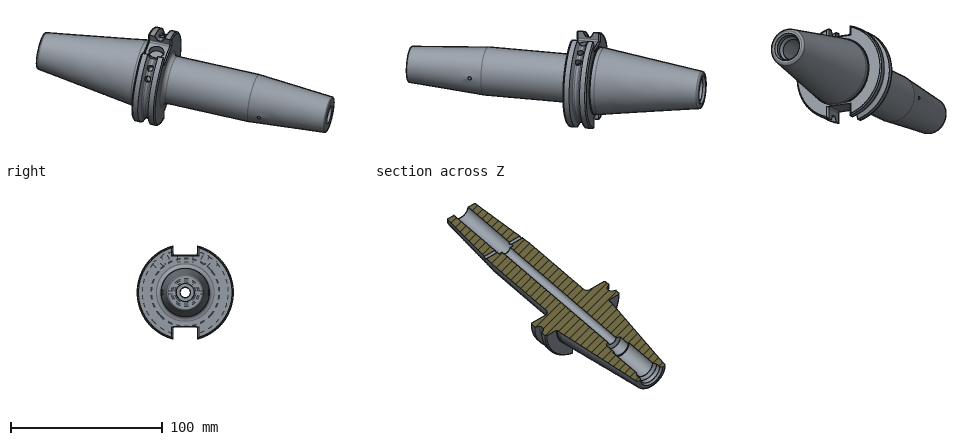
import cadquery as cq
import math

total_length = 198.2

gauge_x = 68.2
gauge_radius = 22.2
taper_slope = 7 / 48
taper_end_radius = gauge_radius - gauge_x * taper_slope
taper_end_rounding = 1.5
shank_corner_fillet = 0.5

flange_start_x = 71.4
flange_end_x = 87.33
flange_radius = 31.75
flange_rim_chamfer = 0.9

clearance = 2.0

groove_x = 79.3
groove_width = 7.1
groove_floor_radius = 28.3
groove_half_angle = 30.0
groove_corner_radius = 1.2

slot_width = 16.0
upper_slot_floor = 24.8
lower_slot_floor = 22.6
slot_side_chamfer = 1.0
upper_floor_chamfer = 0.8
slot_corner_radius = 1.0
recess_diameter = 10.0
recess_depth = 4.5

groove_hole_angles = (30.0, 45.0)
groove_hole_diameter = 4.0
groove_hole_depth = 6.0

neck_radius = 16.0
neck_fillet = 3.0
nose_cone_start_x = 146.5
nose_end_radius = 12.0
nose_end_rounding = 0.8

mouth_radius = 9.3
counterbore_radius = 8.3
counterbore_depth = 5.0
lead_in_half_angle = 30.0
thread_radius = 7.0
thread_end_x = 31.7
drill_radius = 6.0
drill_end_x = 39.6
drill_half_angle = 59.0
coolant_radius = 3.4
tool_bore_radius = 6.0
tool_bore_depth = 47.0

vent_x = 154.2
vent_diameter = 2.2


def cylinder_x(start, end, radius):
    return cq.Workplane("YZ").workplane(offset=start).circle(radius).extrude(end - start)


def revolve_x(points):
    """Solid of revolution about the X axis from (x, radius) points."""
    return cq.Workplane("XZ").polyline(points).close().revolve(360, (0, 0, 0), (1, 0, 0))


def make_shank():
    shank = revolve_x([
        (0, 0),
        (0, taper_end_radius),
        (gauge_x, gauge_radius),
        (flange_start_x, gauge_radius),
        (flange_start_x, 0),
    ])
    return shank.faces("<X").edges().fillet(taper_end_rounding)


def make_nose():
    nose = revolve_x([
        (flange_end_x, 0),
        (flange_end_x, neck_radius),
        (nose_cone_start_x, neck_radius),
        (total_length, nose_end_radius),
        (total_length, 0),
    ])
    return nose.faces(">X").edges().fillet(nose_end_rounding)


def make_groove():
    half_width = groove_width / 2
    wall_run = (flange_radius - groove_floor_radius) * math.tan(math.radians(groove_half_angle))
    half_floor = half_width - wall_run
    outer = flange_radius + clearance
    groove = revolve_x([
        (groove_x - half_width, outer),
        (groove_x - half_width, flange_radius),
        (groove_x - half_floor, groove_floor_radius),
        (groove_x + half_floor, groove_floor_radius),
        (groove_x + half_width, flange_radius),
        (groove_x + half_width, outer),
    ])
    floor_edges = cq.selectors.RadiusNthSelector(0)
    return groove.edges(floor_edges).fillet(groove_corner_radius)


def make_slot(floor, side, floor_chamfer):
    """Drive slot cutter with rounded floor corners and chamfered mouths; side is +1 for +Z, -1 for -Z."""
    top = flange_radius + clearance

    def section(x, widening, deepening):
        bottom = floor - deepening
        middle = side * (top + bottom) / 2
        return (
            cq.Workplane("YZ", origin=(x, 0, middle))
            .rect(slot_width + 2 * widening, top - bottom)
        )

    slot = section(flange_start_x, 0, 0).extrude(flange_end_x - flange_start_x)
    floor_face = "<Z" if side > 0 else ">Z"
    slot = slot.faces(floor_face).edges("|X").fillet(slot_corner_radius)
    for face_x, inward in ((flange_start_x, 1), (flange_end_x, -1)):
        mouth = section(face_x, slot_side_chamfer, floor_chamfer)
        throat = section(face_x + inward * slot_side_chamfer, 0, 0)
        flare = cq.Solid.makeLoft([mouth.wires().val(), throat.wires().val()], True)
        slot = slot.union(cq.Workplane(flare))
    return slot


def make_flange():
    flange = cylinder_x(flange_start_x, flange_end_x, flange_radius)
    flange = flange.edges().chamfer(flange_rim_chamfer).cut(make_groove())
    for side in (1, -1):
        for angle in groove_hole_angles:
            hole = (
                cq.Workplane("XY").workplane(offset=groove_floor_radius - groove_hole_depth)
                .center(groove_x, 0).circle(groove_hole_diameter / 2).extrude(groove_hole_depth + clearance)
                .rotate((0, 0, 0), (1, 0, 0), side * angle)
            )
            flange = flange.cut(hole)
    flange = flange.cut(make_slot(upper_slot_floor, 1, upper_floor_chamfer))
    flange = flange.cut(make_slot(lower_slot_floor, -1, 0))
    recess = (
        cq.Workplane("XY").workplane(offset=upper_slot_floor - recess_depth)
        .center(groove_x, 0).circle(recess_diameter / 2).extrude(recess_depth + clearance)
    )
    return flange.cut(recess)


def make_bores():
    def cone_length(large_radius, small_radius, half_angle):
        return (large_radius - small_radius) / math.tan(math.radians(half_angle))

    mouth_length = cone_length(mouth_radius, counterbore_radius, lead_in_half_angle)
    shoulder_length = cone_length(counterbore_radius, thread_radius, lead_in_half_angle)
    drill_tip_length = cone_length(drill_radius, coolant_radius, drill_half_angle)
    tool_bore_x = total_length - tool_bore_depth
    return revolve_x([
        (0, 0),
        (0, mouth_radius),
        (mouth_length, counterbore_radius),
        (counterbore_depth, counterbore_radius),
        (counterbore_depth + shoulder_length, thread_radius),
        (thread_end_x, thread_radius),
        (thread_end_x, drill_radius),
        (drill_end_x, drill_radius),
        (drill_end_x + drill_tip_length, coolant_radius),
        (tool_bore_x, coolant_radius),
        (tool_bore_x, tool_bore_radius),
        (total_length, tool_bore_radius),
        (total_length, 0),
    ])


def fillet_ring(body, x, radius, fillet_radius):
    """Round the inside corner that runs around the X axis at the given place."""
    margin = 0.2
    reach = radius + margin
    ring = cq.selectors.BoxSelector(
        (x - margin, -reach, -reach),
        (x + margin, reach, reach),
        boundingbox=True,
    )
    return body.edges(ring).fillet(fillet_radius)


vent = (
    cq.Workplane("XZ").center(vent_x, 0)
    .circle(vent_diameter / 2).extrude(neck_radius, both=True)
)

body = make_shank().union(make_flange()).union(make_nose())
body = fillet_ring(body, flange_start_x, gauge_radius, shank_corner_fillet)
body = fillet_ring(body, flange_end_x, neck_radius, neck_fillet)
result = body.cut(make_bores()).cut(vent)